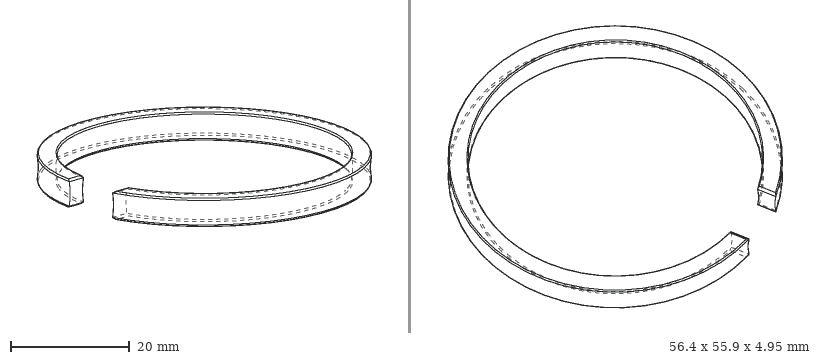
import cadquery as cq

outer_radius = 28.2
inner_radius = 24.8
height = 4.95
gap_width = 10.05

bevel_height = 0.35
rim_bevel_width = 0.2
end_bevel_width = 0.5

waist_depth = 0.2
outer_floor_height = 0.5
inner_floor_height = 0.85

half_height = height / 2
shoulder_z = half_height - bevel_height
half_gap = gap_width / 2


def side_points(rim_radius, inward, floor_height):
    """Radius and height of one side, bottom to top; inward is the sign toward the material."""
    bevel_radius = rim_radius + inward * rim_bevel_width
    floor_radius = rim_radius + inward * waist_depth
    return [
        (bevel_radius, -half_height),
        (rim_radius, -shoulder_z),
        (floor_radius, -floor_height / 2),
        (floor_radius, floor_height / 2),
        (rim_radius, shoulder_z),
        (bevel_radius, half_height),
    ]


outer_side = side_points(outer_radius, -1, outer_floor_height)
inner_side = side_points(inner_radius, 1, inner_floor_height)
section = cq.Workplane("XZ").polyline(outer_side + inner_side[::-1]).close()
ring = section.revolve(360, (0, 0, 0), (0, 1, 0))

flared_half_gap = half_gap + end_bevel_width
gap_outline = [
    (-flared_half_gap, -half_height),
    (flared_half_gap, -half_height),
    (half_gap, -shoulder_z),
    (half_gap, shoulder_z),
    (flared_half_gap, half_height),
    (-flared_half_gap, half_height),
    (-half_gap, shoulder_z),
    (-half_gap, -shoulder_z),
]
gap = cq.Workplane("XZ").polyline(gap_outline).close().extrude(outer_radius)

result = ring.cut(gap)